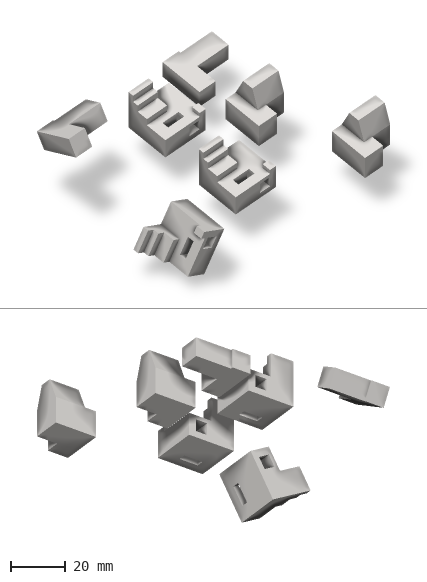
import cadquery as cq

STAIR_SIDE = 20.0
STAIR_BASE_HEIGHT = 9.4
STAIR_TREAD_ENDS = (2.5, 5.0, 10.0)
STAIRCASE_HEIGHT = 10.0
STAIR_RISE = STAIRCASE_HEIGHT / len(STAIR_TREAD_ENDS)
STAIR_DEPTH = 10.0
TAB_X = 4.0
TAB_Y = 3.0
TAB_HEIGHT = 2.1
SLOT_X = 3.0
SLOT_Y = 8.0
SLOT_LEFT = 13.0
SLOT_FRONT = 5.0
TUNNEL_SIDE = 5.0
TUNNEL_FRONT = 12.0
TUNNEL_BOTTOM = 2.65

WEDGE_SIDE = 17.95
WEDGE_FRONT_DEPTH = 9.0
WEDGE_BASE_HEIGHT = 11.0
RIDGE_WIDTH = 12.0
RIDGE_LENGTH = 13.0
RIDGE_TOP_LEFT = 4.0
RIDGE_TOP_RIGHT = 9.0
RIDGE_HEIGHT = 9.5

ANGLE_FOOT_LENGTH = 20.0
ANGLE_FOOT_WIDTH = 8.0
ANGLE_LENGTH = 23.6
ANGLE_ARM_LEFT = 1.0
ANGLE_ARM_WIDTH = 9.0
ANGLE_HEIGHT = 8.0

STAIR_PLACES = ((0.0, -0.1, 0.0), (38.05, -0.1, 0.0))
WEDGE_PLACES = ((21.05, 28.85, 0.0), (58.9, 46.85, 0.0))
ANGLE_PLACE = (-9.95, 25.95, 0.0)
TIPPED_STAIR_PLACE = (46.1, -23.15, -8.75)
TIPPED_STAIR_ANGLE = 60.0
TILTED_ANGLE_PLACE = (-7.37, -35.2, 8.05)
TILTED_ANGLE_ANGLE = -30.0


def corner_box(length, width, height, corner):
    return cq.Workplane("XY").box(length, width, height, centered=False).translate(corner)


def make_stair_block():
    block = corner_box(STAIR_SIDE, STAIR_SIDE, STAIR_BASE_HEIGHT, (0, 0, 0))
    for steps_up, tread_end in enumerate(reversed(STAIR_TREAD_ENDS), start=1):
        height = STAIR_BASE_HEIGHT + steps_up * STAIR_RISE
        block = block.union(corner_box(tread_end, STAIR_DEPTH, height, (0, 0, 0)))
    tab_corner = (STAIR_SIDE - TAB_X, STAIR_SIDE - TAB_Y, 0)
    block = block.union(corner_box(TAB_X, TAB_Y, STAIR_BASE_HEIGHT + TAB_HEIGHT, tab_corner))
    slot = corner_box(SLOT_X, SLOT_Y, STAIR_BASE_HEIGHT, (SLOT_LEFT, SLOT_FRONT, 0))
    tunnel = corner_box(STAIR_SIDE, TUNNEL_SIDE, TUNNEL_SIDE, (0, TUNNEL_FRONT, TUNNEL_BOTTOM))
    return block.cut(slot).cut(tunnel)


def make_wedge_block():
    front = corner_box(WEDGE_SIDE, WEDGE_FRONT_DEPTH, WEDGE_BASE_HEIGHT, (0, 0, 0))
    left = corner_box(RIDGE_WIDTH, WEDGE_SIDE, WEDGE_BASE_HEIGHT, (0, 0, 0))
    ridge_top = WEDGE_BASE_HEIGHT + RIDGE_HEIGHT
    ridge = (
        cq.Workplane("XZ", origin=(0, WEDGE_SIDE, 0))
        .moveTo(0, WEDGE_BASE_HEIGHT)
        .lineTo(RIDGE_WIDTH, WEDGE_BASE_HEIGHT)
        .lineTo(RIDGE_TOP_RIGHT, ridge_top)
        .lineTo(RIDGE_TOP_LEFT, ridge_top)
        .close()
        .extrude(RIDGE_LENGTH)
    )
    return front.union(left).union(ridge)


def make_angle_block():
    foot = corner_box(ANGLE_FOOT_LENGTH, ANGLE_FOOT_WIDTH, ANGLE_HEIGHT, (0, 0, 0))
    arm = corner_box(ANGLE_ARM_WIDTH, ANGLE_LENGTH, ANGLE_HEIGHT, (ANGLE_ARM_LEFT, 0, 0))
    return foot.union(arm)


stair_blocks = [make_stair_block().translate(place) for place in STAIR_PLACES]
stair_blocks.append(
    make_stair_block()
    .rotate((0, 0, 0), (1, 0, 0), TIPPED_STAIR_ANGLE)
    .translate(TIPPED_STAIR_PLACE)
)

wedge_blocks = [make_wedge_block().translate(place) for place in WEDGE_PLACES]

angle_blocks = [
    make_angle_block().translate(ANGLE_PLACE),
    make_angle_block()
    .rotate((0, 0, 0), (0, 1, 0), TILTED_ANGLE_ANGLE)
    .translate(TILTED_ANGLE_PLACE),
]

bodies = stair_blocks + wedge_blocks + angle_blocks
result = cq.Compound.makeCompound([body.val() for body in bodies])